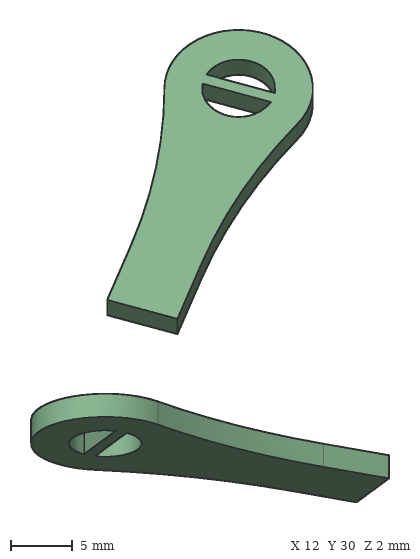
import cadquery as cq
import math

length = 30.0
thickness = 2.0
head_radius = 6.0
hole_radius = 2.95
bar_width = 1.0
handle_width = 6.0
neck_radius = 50.0

handle_half = handle_width / 2
handle_end_y = head_radius - length

neck_center_x = handle_half + neck_radius
center_distance = head_radius + neck_radius
neck_center_y = -math.sqrt(center_distance**2 - neck_center_x**2)
head_tangent_x = head_radius * neck_center_x / center_distance
head_tangent_y = head_radius * neck_center_y / center_distance

neck_half_angle = math.atan2(-neck_center_y, neck_center_x) / 2
neck_mid_x = neck_center_x - neck_radius * math.cos(neck_half_angle)
neck_mid_y = neck_center_y + neck_radius * math.sin(neck_half_angle)


def make_body():
    """Flat plate: straight handle, flaring neck and round head."""
    return (
        cq.Workplane("XY")
        .moveTo(-handle_half, handle_end_y)
        .lineTo(handle_half, handle_end_y)
        .lineTo(handle_half, neck_center_y)
        .threePointArc((neck_mid_x, neck_mid_y), (head_tangent_x, head_tangent_y))
        .threePointArc((0, head_radius), (-head_tangent_x, head_tangent_y))
        .threePointArc((-neck_mid_x, neck_mid_y), (-handle_half, neck_center_y))
        .close()
        .extrude(thickness)
    )


def make_eye():
    """Round through hole split in two by a bar along X."""
    hole = cq.Workplane("XY").circle(hole_radius).extrude(thickness)
    bar = cq.Workplane("XY").rect(2 * head_radius, bar_width).extrude(thickness)
    return hole.cut(bar)


result = make_body().cut(make_eye())